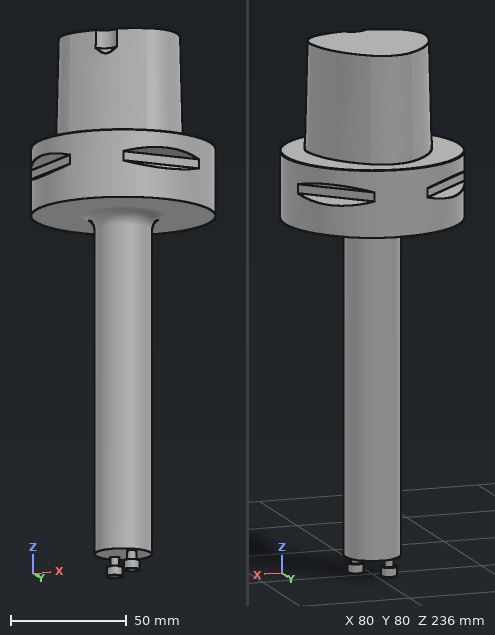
import cadquery as cq
import math

total_height = 236.0
taper_height = 48.0
flange_height = 30.0
pin_length = 8.5
flange_top = total_height - taper_height
flange_bottom = flange_top - flange_height

flange_diameter = 80.0
flange_chamfer = 0.2
shank_diameter = 25.0
shank_fillet = 6.1

lobe_reach = 29.5
side_reach = 25.5
lobe_radius = 16.8
taper_angle = math.degrees(math.atan(1 / 40))

notch_radius = 6.0
notch_depth = 8.0
notch_center_y = -27.5

groove_depth = 4.5
groove_floor_width = 4.0
groove_flank_angle = 30.0
groove_below_flange_top = 11.8
groove_count = 4

pin_offset = 5.7
neck_diameter = 4.0
head_diameter = 7.0
head_height = 4.2
head_chamfer = 0.2


def polar(radius, angle):
    """Point at the given radius and angle in degrees."""
    return (radius * math.cos(math.radians(angle)), radius * math.sin(math.radians(angle)))


def make_body():
    """Flange with the shank blended into its underside."""
    flange = (
        cq.Workplane("XY", origin=(0, 0, flange_bottom))
        .circle(flange_diameter / 2)
        .extrude(flange_height)
        .faces(">Z")
        .chamfer(flange_chamfer)
    )
    shank = (
        cq.Workplane("XY", origin=(0, 0, pin_length))
        .circle(shank_diameter / 2)
        .extrude(flange_bottom - pin_length)
    )
    blend_corner = (shank_diameter / 2, flange_bottom)
    arc_center = (blend_corner[0] + shank_fillet, blend_corner[1] - shank_fillet)
    arc_step = polar(shank_fillet, 135)
    blend = (
        cq.Workplane("XZ")
        .moveTo(0, flange_bottom)
        .lineTo(arc_center[0], flange_bottom)
        .threePointArc(
            (arc_center[0] + arc_step[0], arc_center[1] + arc_step[1]),
            (blend_corner[0], arc_center[1]),
        )
        .lineTo(0, arc_center[1])
        .close()
        .revolve(360, (0, 0), (0, 1))
    )
    return flange.union(shank).union(blend)


def make_taper():
    """Tapered polygon of three lobe arcs joined by three tangent side arcs."""
    lobe_center = lobe_reach - lobe_radius
    reach_gap = side_reach - lobe_radius
    side_center = (lobe_center**2 - reach_gap**2) / (2 * reach_gap - lobe_center)
    center_x, center_y = polar(side_center, 210)
    joint_angle = math.atan2(lobe_center - center_y, -center_x)
    joint_x = lobe_radius * math.cos(joint_angle)
    joint_y = lobe_center + lobe_radius * math.sin(joint_angle)
    joint_radius = math.hypot(joint_x, joint_y)
    half_lobe_angle = math.degrees(math.atan2(joint_x, joint_y))

    outline = cq.Workplane("XY", origin=(0, 0, flange_top)).moveTo(joint_x, joint_y)
    for lobe_angle in (90, 210, 330):
        lobe_end = polar(joint_radius, lobe_angle + half_lobe_angle)
        side_end = polar(joint_radius, lobe_angle + 120 - half_lobe_angle)
        outline = outline.threePointArc(polar(lobe_reach, lobe_angle), lobe_end)
        outline = outline.threePointArc(polar(side_reach, lobe_angle + 60), side_end)
    return outline.close().extrude(taper_height, taper=taper_angle)


def make_notch():
    """Cutter for the locating notch in the top of the taper."""
    cone_start = total_height - notch_depth
    return (
        cq.Workplane("XZ", origin=(0, notch_center_y, 0))
        .moveTo(0, total_height)
        .lineTo(notch_radius, total_height)
        .lineTo(notch_radius, cone_start)
        .lineTo(0, cone_start - notch_radius)
        .close()
        .revolve(360, (0, 0), (0, 1))
    )


def make_groove(angle):
    """Cutter for one straight gripper groove with sloping flanks."""
    rim = flange_diameter / 2
    floor = rim - groove_depth
    half_floor = groove_floor_width / 2
    half_mouth = half_floor + groove_depth * math.tan(math.radians(groove_flank_angle))
    return (
        cq.Workplane("XZ")
        .polyline([(floor, -half_floor), (rim, -half_mouth), (rim, half_mouth), (floor, half_floor)])
        .close()
        .extrude(rim, both=True)
        .translate((0, 0, flange_top - groove_below_flange_top))
        .rotate((0, 0, 0), (0, 0, 1), angle)
    )


def make_pin(x, y):
    """Pin hanging from the shank end, with a wider chamfered head."""
    head = (
        cq.Workplane("XY", origin=(x, y, 0))
        .circle(head_diameter / 2)
        .extrude(head_height)
        .faces("<Z")
        .chamfer(head_chamfer)
    )
    neck = cq.Workplane("XY", origin=(x, y, 0)).circle(neck_diameter / 2).extrude(pin_length)
    return head.union(neck)


result = make_body().union(make_taper()).cut(make_notch())

for index in range(groove_count):
    result = result.cut(make_groove(45 + index * 360 / groove_count))

for side in (-1, 1):
    result = result.union(make_pin(side * pin_offset, -side * pin_offset))